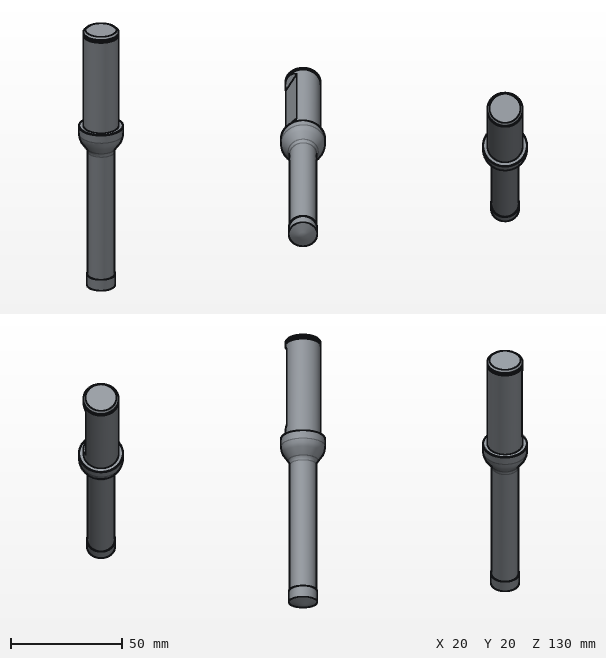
import cadquery as cq
import math

TOTAL_LENGTH = 130.0

HEAD_RADIUS = 12.9 / 2
POINT_ANGLE = 140.0
HEAD_TOP = 7.8

NECK_RADIUS = 12.2 / 2
COLLAR_RADIUS = 20.0 / 2
COLLAR_BOTTOM = 78.3
COLLAR_TOP = 82.2
COLLAR_CHAMFER = 0.3
NECK_TOP = 69.3
NECK_FILLET_RADIUS = 3.5
BLEND_ANGLE = 36.0

SHANK_RADIUS = 16.0 / 2
SHANK_CHAMFER = 1.0
GROOVE_TOP_GAP = 1.3
GROOVE_WIDTH = 1.3
GROOVE_WALL_RUN = 0.3
GROOVE_DEPTH = 0.1

FLAT_DEPTH = 2.0
FLAT_RAMP = 2.5
FLAT_END_GAP = 3.0


def make_drill_head():
    """Short cylinder with a conical drill point."""
    point_height = HEAD_RADIUS / math.tan(math.radians(POINT_ANGLE / 2))
    return (
        cq.Workplane("XZ")
        .moveTo(0, 0)
        .lineTo(HEAD_RADIUS, point_height)
        .lineTo(HEAD_RADIUS, HEAD_TOP)
        .lineTo(0, HEAD_TOP)
        .close()
        .revolve(360, (0, 0), (0, 1))
    )


def make_turned_holder():
    """Neck, blended collar and chamfered shank, revolved about Z."""
    angle = math.radians(BLEND_ANGLE)

    def fillet_point(turn):
        """Point on the concave neck fillet after turning away from the axis."""
        return (
            NECK_RADIUS + NECK_FILLET_RADIUS * (1 - math.cos(turn)),
            NECK_TOP + NECK_FILLET_RADIUS * math.sin(turn),
        )

    flare_start = fillet_point(angle)
    flare_direction = (math.sin(angle), math.cos(angle))
    collar_direction = (0, 1)

    return (
        cq.Workplane("XZ")
        .moveTo(0, HEAD_TOP)
        .lineTo(NECK_RADIUS, HEAD_TOP)
        .lineTo(NECK_RADIUS, NECK_TOP)
        .threePointArc(fillet_point(angle / 2), flare_start)
        .spline(
            [(COLLAR_RADIUS, COLLAR_BOTTOM)],
            tangents=[flare_direction, collar_direction],
            includeCurrent=True,
        )
        .lineTo(COLLAR_RADIUS, COLLAR_TOP - COLLAR_CHAMFER)
        .lineTo(COLLAR_RADIUS - COLLAR_CHAMFER, COLLAR_TOP)
        .lineTo(SHANK_RADIUS, COLLAR_TOP)
        .lineTo(SHANK_RADIUS, TOTAL_LENGTH - SHANK_CHAMFER)
        .lineTo(SHANK_RADIUS - SHANK_CHAMFER, TOTAL_LENGTH)
        .lineTo(0, TOTAL_LENGTH)
        .close()
        .revolve(360, (0, 0), (0, 1))
    )


def make_groove_cutter():
    """Ring that cuts the shallow groove near the shank end."""
    groove_top = TOTAL_LENGTH - GROOVE_TOP_GAP
    groove_bottom = groove_top - GROOVE_WIDTH
    floor_radius = SHANK_RADIUS - GROOVE_DEPTH
    return (
        cq.Workplane("XZ")
        .moveTo(SHANK_RADIUS, groove_bottom)
        .lineTo(floor_radius, groove_bottom + GROOVE_WALL_RUN)
        .lineTo(floor_radius, groove_top - GROOVE_WALL_RUN)
        .lineTo(SHANK_RADIUS, groove_top)
        .close()
        .revolve(360, (0, 0), (0, 1))
    )


def make_flat_cutter():
    """Trapezoidal prism along X that cuts the flat and its end ramps."""
    ramp_start = COLLAR_TOP + FLAT_END_GAP
    ramp_end = TOTAL_LENGTH - FLAT_END_GAP
    flat_y = SHANK_RADIUS - FLAT_DEPTH
    return (
        cq.Workplane("YZ")
        .moveTo(SHANK_RADIUS, ramp_start)
        .lineTo(flat_y, ramp_start + FLAT_RAMP)
        .lineTo(flat_y, ramp_end - FLAT_RAMP)
        .lineTo(SHANK_RADIUS, ramp_end)
        .close()
        .extrude(SHANK_RADIUS, both=True)
    )


drill_head = make_drill_head()
holder = make_turned_holder().cut(make_groove_cutter()).cut(make_flat_cutter())

result = cq.Compound.makeCompound([drill_head.val(), holder.val()])